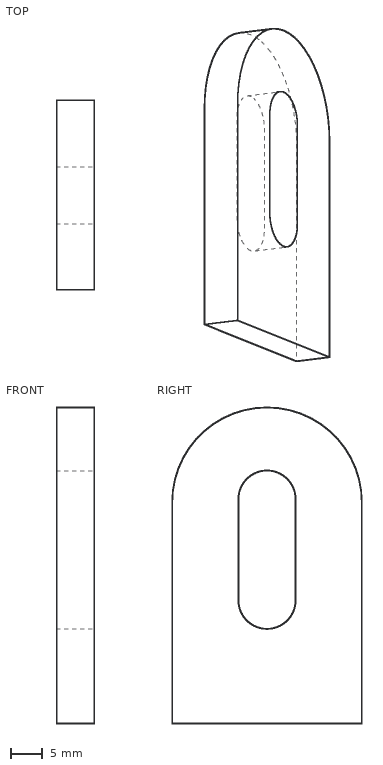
import cadquery as cq

thickness = 6.0
width = 30.0
height = 50.0
slot_width = 9.0
slot_bottom = 15.0
slot_top_margin = 10.0

half_width = width / 2
shoulder_height = height - half_width
slot_length = height - slot_top_margin - slot_bottom
slot_center_height = slot_bottom + slot_length / 2


def make_plate():
    """Upright plate with a flat base and a full-radius top."""
    return (
        cq.Workplane("YZ")
        .moveTo(-half_width, 0)
        .lineTo(half_width, 0)
        .lineTo(half_width, shoulder_height)
        .threePointArc((0, height), (-half_width, shoulder_height))
        .close()
        .extrude(thickness / 2, both=True)
    )


def make_slot_cutter():
    """Vertical round-ended slot that passes through the full thickness."""
    return (
        cq.Workplane("YZ")
        .center(0, slot_center_height)
        .slot2D(slot_length, slot_width, angle=90)
        .extrude(thickness / 2, both=True)
    )


result = make_plate().cut(make_slot_cutter())